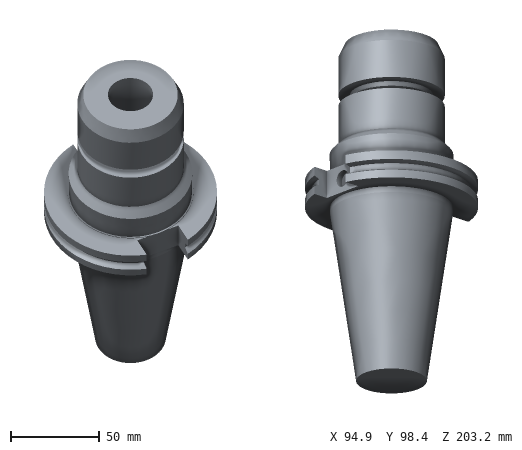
import cadquery as cq

total_height = 203.2
taper_top = 101.5
flange_bottom = 105.0
flange_top = 121.5
shoulder_bottom = 137.2
shoulder_top = 142.0
neck_bottom = 166.5
neck_step_bottom = 169.5
neck_step_top = 170.3
nut_bottom = 173.1
nut_chamfer_bottom = 195.7

taper_small_radius = 20.1
gauge_radius = 35.0
flange_radius = 49.2
collar_top_radius = 35.2
collar_bottom_radius = 35.0
barrel_radius = 30.3
neck_radius = 22.5
neck_step_radius = 23.8
nut_top_radius = 26.8

rim_radius = 35.8
rim_height = 0.5

groove_radius = 45.7
groove_floor_bottom = 111.5
groove_floor_top = 115.0
groove_mouth_bottom = 109.7
groove_mouth_top = 116.2

slot_width = 26.0
slot_floor_minus_x = 37.8
slot_floor_plus_x = 35.2

bore_radius = 12.8
bore_depth = 61.0
dimple_radius = 4.9
dimple_depth = 4.0


def holder_body():
    """Revolve the half section of the holder about Z."""
    profile = [
        (0, 0),
        (taper_small_radius, 0),
        (gauge_radius, taper_top),
        (gauge_radius, flange_bottom),
        (flange_radius, flange_bottom),
        (flange_radius, groove_mouth_bottom),
        (groove_radius, groove_floor_bottom),
        (groove_radius, groove_floor_top),
        (flange_radius, groove_mouth_top),
        (flange_radius, flange_top),
        (rim_radius, flange_top),
        (rim_radius, flange_top + rim_height),
        (collar_bottom_radius, flange_top + rim_height),
        (collar_top_radius, shoulder_bottom),
        (barrel_radius, shoulder_top),
        (barrel_radius, neck_bottom),
        (neck_radius, neck_bottom),
        (neck_radius, neck_step_bottom),
        (neck_step_radius, neck_step_top),
        (neck_step_radius, nut_bottom),
        (barrel_radius, nut_bottom),
        (barrel_radius, nut_chamfer_bottom),
        (nut_top_radius, total_height),
        (0, total_height),
    ]
    return cq.Workplane("XZ").polyline(profile).close().revolve(360, (0, 0), (0, 1))


def drive_slot(side, floor):
    """Block that cuts a slot through the flange on one side (-1 or +1 along X)."""
    height = flange_top - flange_bottom
    block = cq.Workplane("XY").box(flange_radius, slot_width, height, centered=(True, True, False))
    return block.translate((side * (floor + flange_radius / 2), 0, flange_bottom))


def dimple():
    """Blind round hole in the floor of the -X slot."""
    middle = (flange_bottom + flange_top) / 2
    plane = cq.Workplane("YZ", origin=(-slot_floor_minus_x, 0, middle))
    return plane.circle(dimple_radius).extrude(dimple_depth)


def collet_bore():
    """Blind bore down from the nose."""
    return cq.Workplane("XY", origin=(0, 0, total_height)).circle(bore_radius).extrude(-bore_depth)


result = (
    holder_body()
    .cut(drive_slot(-1, slot_floor_minus_x))
    .cut(drive_slot(1, slot_floor_plus_x))
    .cut(dimple())
    .cut(collet_bore())
)